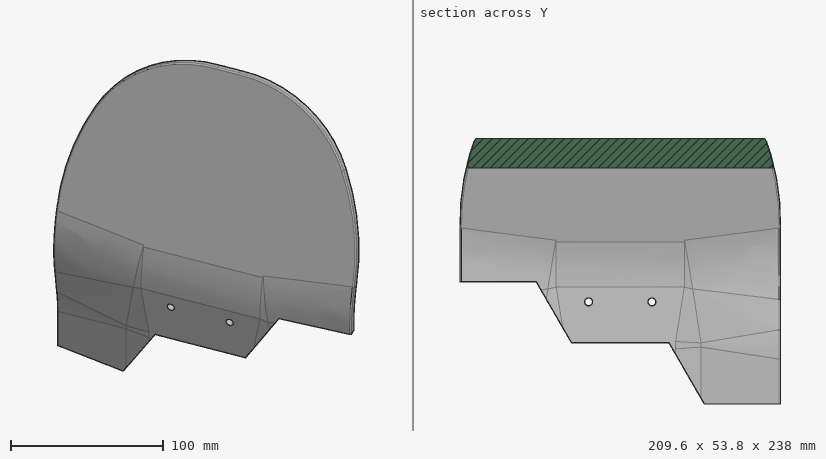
import cadquery as cq
import math

width = 209.5
half_width = width / 2
height = 238
thickness = 6.2
bend_radius = 100
lean = math.radians(18.3)
wing_turn = math.radians(9.5)
main_fold_z = 92.5
lower_fold_z = 38.5
wing_hinge_x = 44.5
blend_top_x = 41.9
blend_top_width = 0.2
blend_half_width = 8.3
flat_split = 2.4
overrun = 7.1

rounding_loss = 0.2
crown = (height + rounding_loss - main_fold_z) / math.cos(lean)
crown_flat_half = 7.5
upper_arc_mid = (57.8, crown - 14.5)
shoulder = (87.5, crown - 49.2)
side_arc_mid = (100.9, crown - 88)
side_top = (half_width, crown - 128.5)
edge_round = 1.0

step_height = 40.0
tab_half_width = 31.9
step_slant = math.radians(30)
step_run = step_height * math.tan(step_slant)
hole_diameter = 5.0
hole_half_pitch = 20.7
hole_z = 66.9


def profile(wing_depth, xs, inset):
    """Return edges of one lengthwise section, inset normal to the front skin.

    xs holds the X position at the foot, lower bend ends, main bend ends and top.
    """
    angle = math.atan2(wing_depth, main_fold_z - lower_fold_z)
    radius = bend_radius - inset
    lower_radius = bend_radius + inset

    lower_run = bend_radius * math.tan(angle / 2) if wing_depth > 0 else flat_split
    main_run = bend_radius * math.tan((lean + angle) / 2)
    top_z = height + overrun
    points = [
        (wing_depth, 0, 0),
        (wing_depth, lower_fold_z - lower_run, 0),
        (wing_depth - lower_run * math.sin(angle), lower_fold_z + lower_run * math.cos(angle), -angle),
        (main_run * math.sin(angle), main_fold_z - main_run * math.cos(angle), -angle),
        (main_run * math.sin(lean), main_fold_z + main_run * math.cos(lean), lean),
        ((top_z - main_fold_z) * math.tan(lean), top_z, lean),
    ]

    def place(x, y, z, slope, depth):
        return cq.Vector(x, y + depth * math.cos(slope), z - depth * math.sin(slope))

    nodes = [place(x, y, z, slope, inset) for x, (y, z, slope) in zip(xs, points)]
    nodes[0].z = 0

    def bend(first, signed_radius):
        y, z, start_slope = points[first]
        middle_slope = (start_slope + points[first + 1][2]) / 2
        centre = place(0, y, z, start_slope, inset + signed_radius)
        middle_x = (xs[first] + xs[first + 1]) / 2
        middle = place(middle_x, centre.y, centre.z, middle_slope, -signed_radius)
        return cq.Edge.makeThreePointArc(nodes[first], middle, nodes[first + 1])

    def straight(first):
        return cq.Edge.makeLine(nodes[first], nodes[first + 1])

    lower = bend(1, -lower_radius) if wing_depth > 0 else straight(1)
    return [straight(0), lower, straight(2), bend(3, radius), straight(4)]


def station_pairs():
    """Front and back section edges at each station across the width."""
    outside = half_width + overrun
    outer_x = wing_hinge_x + blend_half_width
    inner_x = wing_hinge_x - blend_half_width
    middle_x = (outer_x + blend_top_x) / 2
    side_depth = (outside - wing_hinge_x) * math.tan(wing_turn)
    outer_depth = blend_half_width * math.tan(wing_turn)
    side_xs = [outside] * 6
    outer_top_x = blend_top_x + blend_top_width
    outer_xs = [outer_x] * 3 + [middle_x] + [outer_top_x] * 2
    inner_xs = [inner_x] * 3 + [blend_top_x] * 3

    def pair(depth, xs):
        return [profile(depth, xs, inset) for inset in (0, thickness)]

    def left(xs):
        return [-x for x in xs]

    return [
        pair(side_depth, left(side_xs)),
        pair(outer_depth, left(outer_xs)),
        pair(0, left(inner_xs)),
        pair(0, inner_xs),
        pair(outer_depth, outer_xs),
        pair(side_depth, side_xs),
    ]


def bent_sheet():
    """Close ruled strips between neighbouring sections into a solid."""
    stations = station_pairs()
    faces = []

    def cross_edge(a, b):
        return cq.Edge.makeLine(a, b)

    for near, far in zip(stations, stations[1:]):
        for skin in (0, 1):
            for a, b in zip(near[skin][:-1], far[skin][:-1]):
                faces.append(cq.Face.makeRuledSurface(a, b))
        feet = [[section[0].startPoint() for section in station] for station in (near, far)]
        faces.append(cq.Face.makeRuledSurface(
            cross_edge(feet[0][0], feet[1][0]), cross_edge(feet[0][1], feet[1][1])))

    first, last = stations[0], stations[-1]
    top_edges = []
    for skin in (0, 1):
        starts = [station[skin][-1].startPoint() for station in stations]
        fold = [cross_edge(a, b) for a, b in zip(starts, starts[1:])]
        top = cross_edge(last[skin][-1].endPoint(), first[skin][-1].endPoint())
        top_edges.append(top)
        outline = [*fold, last[skin][-1], top, first[skin][-1]]
        faces.append(cq.Face.makeFromWires(cq.Wire.assembleEdges(outline)))
    faces.append(cq.Face.makeRuledSurface(*top_edges))

    for front, back in (first, last):
        foot = cross_edge(front[0].startPoint(), back[0].startPoint())
        top = cross_edge(front[-1].endPoint(), back[-1].endPoint())
        faces.append(cq.Face.makeFromWires(cq.Wire.assembleEdges([*front, top, *back[::-1], foot])))
    solid = cq.Solid.makeSolid(cq.Shell.makeShell(faces))
    return cq.Workplane(obj=solid.fix())


def arch_trim():
    """Arched prism square to the leaning plate, with straight sides below."""
    plane = cq.Plane(
        origin=(0, 0, main_fold_z),
        xDir=(1, 0, 0),
        normal=(0, -math.cos(lean), math.sin(lean)),
    )

    def mirrored(point):
        return (-point[0], point[1])

    bottom = -height
    return (
        cq.Workplane(plane)
        .moveTo(-half_width, bottom)
        .lineTo(half_width, bottom)
        .lineTo(*side_top)
        .threePointArc(side_arc_mid, shoulder)
        .threePointArc(upper_arc_mid, (crown_flat_half, crown))
        .lineTo(-crown_flat_half, crown)
        .threePointArc(mirrored(upper_arc_mid), mirrored(shoulder))
        .threePointArc(mirrored(side_arc_mid), mirrored(side_top))
        .close()
        .extrude(height, both=True)
    )


def stepped_cut():
    """Removal below the centre tab and the higher right-hand edge."""
    wide = half_width + overrun
    sloped_x = tab_half_width + step_run
    extra_run = overrun * step_run / step_height
    return (
        cq.Workplane("XZ")
        .polyline([
            (-sloped_x - extra_run, -overrun),
            (-tab_half_width, step_height),
            (tab_half_width, step_height),
            (sloped_x, 2 * step_height),
            (wide, 2 * step_height),
            (wide, -overrun),
        ])
        .close()
        .extrude(height, both=True)
    )


def fixing_holes():
    """Pair of through holes in the upright tab."""
    return (
        cq.Workplane("XZ")
        .pushPoints([(-hole_half_pitch, hole_z), (hole_half_pitch, hole_z)])
        .circle(hole_diameter / 2)
        .extrude(height, both=True)
    )


trimmed = bent_sheet().intersect(arch_trim())
eased = trimmed.faces("<X or >X").edges("not(<Z)").fillet(edge_round)
result = eased.cut(stepped_cut()).cut(fixing_holes())